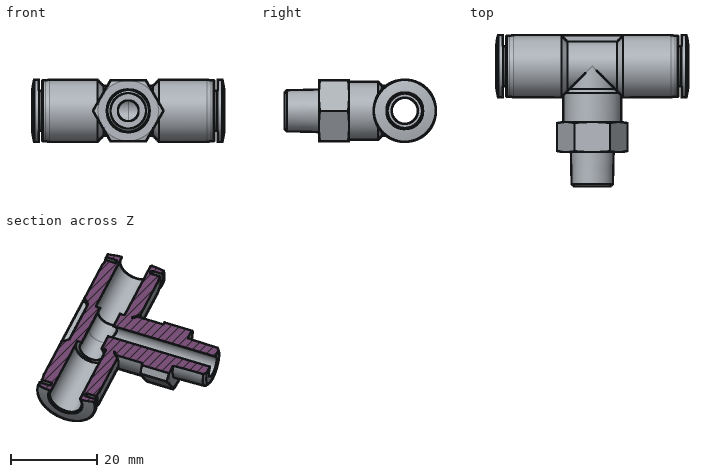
import cadquery as cq

run_length = 44.6
half_run = run_length / 2

sleeve_diameter = 14.5
sleeve_radius = sleeve_diameter / 2
waist_radius = 5.85
sleeve_start = 7.2
waist_half_length = sleeve_start - (sleeve_radius - waist_radius)
cap_diameter = 14.2
cap_radius = cap_diameter / 2
cap_edge = 0.22
cap_length = 1.8
cap_taper = 0.85
cap_end = half_run - 2.3
neck_radius = 9.3 / 2
neck_root_length = 0.22
neck_root_rise = 0.1
collar_inner_face = half_run - 1.55
collar_rim = half_run - 0.6
collar_edge_width = 0.15
collar_edge_drop = 0.1
dome_mid_radius = 5.8
dome_mid_drop = 0.15

tube_bore_radius = 7.95 / 2
tube_bore_depth = 16.5
mouth_radius = 4.3
mouth_depth = 0.25
run_bore_radius = 6.0 / 2
branch_bore_radius = 4.8 / 2

branch_radius = 13.5 / 2
branch_shoulder = 6.2
nut_start = 12.95
nut_end = 19.9
nut_across_flats = 14.2
nut_chamfer_radius = 7.0
nut_chamfer_height = 0.22
branch_end = 35.15 - sleeve_radius
thread_start_radius = 5.0
thread_end_radius = 4.8
thread_tip_radius = 4.1
thread_chamfer_height = 0.6

web_thickness = 2.5


def revolve_run(profile):
    """Turn an (x, radius) outline about the X axis."""
    return profile.close().revolve(360, (0, 0, 0), (1, 0, 0))


def revolve_branch(points):
    """Turn (radius, distance from run axis) points about the branch axis."""
    outline = [(radius, -distance) for radius, distance in points]
    return cq.Workplane("XY").polyline(outline).close().revolve(360, (0, 0, 0), (0, 1, 0))


def make_half_run():
    """Half of the run, from the tee center to the +X end."""
    profile = (
        cq.Workplane("XY")
        .moveTo(0, 0)
        .lineTo(0, waist_radius)
        .lineTo(waist_half_length, waist_radius)
        .lineTo(sleeve_start, sleeve_radius)
        .lineTo(cap_end - cap_length, sleeve_radius)
        .lineTo(cap_end - cap_taper, cap_radius)
        .lineTo(cap_end - cap_edge, cap_radius)
        .lineTo(cap_end, cap_radius - cap_edge)
        .lineTo(cap_end, neck_radius)
        .lineTo(collar_inner_face - neck_root_length, neck_radius)
        .lineTo(collar_inner_face, neck_radius + neck_root_rise)
        .lineTo(collar_inner_face, sleeve_radius)
        .lineTo(collar_rim, sleeve_radius)
        .lineTo(collar_rim + collar_edge_width, sleeve_radius - collar_edge_drop)
        .threePointArc((half_run - dome_mid_drop, dome_mid_radius), (half_run, mouth_radius))
        .lineTo(half_run, 0)
    )
    return revolve_run(profile)


def make_run_cutter():
    """Stepped tube socket and through bore for the +X half."""
    socket_floor = half_run - tube_bore_depth
    profile = (
        cq.Workplane("XY")
        .moveTo(0, 0)
        .lineTo(0, run_bore_radius)
        .lineTo(socket_floor, run_bore_radius)
        .lineTo(socket_floor, tube_bore_radius)
        .lineTo(half_run - mouth_depth, tube_bore_radius)
        .lineTo(half_run, mouth_radius)
        .lineTo(half_run, 0)
    )
    return revolve_run(profile)


def both_ends(half):
    return half.union(half.mirror("YZ"))


def make_nut():
    """Hexagon with flats facing +Z and -Z, its corners chamfered at both ends."""
    corner_radius = nut_across_flats / 3**0.5
    hexagon = (
        cq.Workplane("XZ", origin=(0, -nut_start, 0))
        .polygon(6, 2 * corner_radius)
        .extrude(nut_end - nut_start)
    )
    envelope = revolve_branch([
        (0, nut_start),
        (nut_chamfer_radius, nut_start),
        (corner_radius, nut_start + nut_chamfer_height),
        (corner_radius, nut_end - nut_chamfer_height),
        (nut_chamfer_radius, nut_end),
        (0, nut_end),
    ])
    return hexagon.intersect(envelope)


def make_branch():
    """Branch barrel whose root meets the waist in a miter, and the tapered thread."""
    shoulder_rise = branch_radius - waist_radius
    barrel = revolve_branch([
        (0, 0),
        (waist_radius, 0),
        (waist_radius, branch_shoulder - shoulder_rise),
        (branch_radius, branch_shoulder),
        (branch_radius, nut_start),
        (0, nut_start),
    ])
    miter = (
        cq.Workplane("XY")
        .polyline([(0, 0), (nut_start, -nut_start), (-nut_start, -nut_start)])
        .close()
        .extrude(branch_radius, both=True)
    )
    thread = revolve_branch([
        (0, nut_end),
        (thread_start_radius, nut_end),
        (thread_end_radius, branch_end - thread_chamfer_height),
        (thread_tip_radius, branch_end),
        (0, branch_end),
    ])
    return barrel.intersect(miter).union(make_nut()).union(thread)


def make_web():
    """Flat back web between the sleeves, trimmed to the sleeve diameter."""
    plate = cq.Workplane("XY").box(
        2 * sleeve_start, sleeve_radius, web_thickness, centered=(True, False, True)
    )
    sleeve_envelope = cq.Workplane("YZ").circle(sleeve_radius).extrude(sleeve_start, both=True)
    return plate.intersect(sleeve_envelope)


body = both_ends(make_half_run()).union(make_branch()).union(make_web())
branch_bore = cq.Workplane("XZ").circle(branch_bore_radius).extrude(branch_end)
result = body.cut(both_ends(make_run_cutter())).cut(branch_bore)